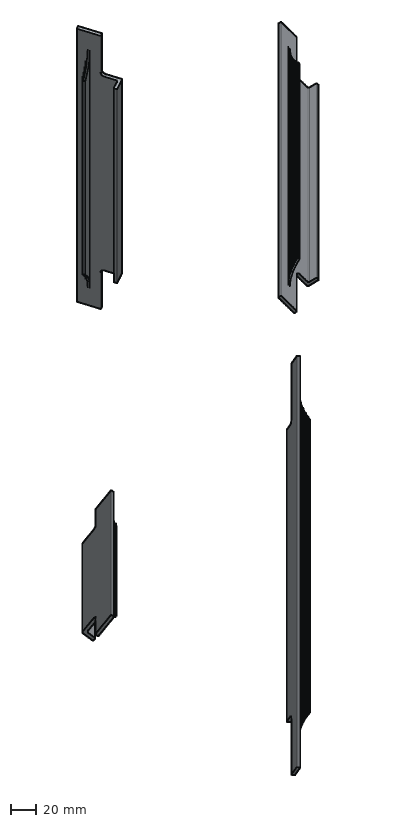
import cadquery as cq
import math

length = 345.0
overall_width = 38.0
overall_depth = 13.0
plate_thickness = 3.0
strip_width = 20.7
edge_radius = 0.52

grip_length = 245.0
notch_radius = 3.0
lip_thickness = 3.0
lip_depth = 11.5
lip_inner_radius = 1.0

fin_left = 9.3
fin_thickness = 2.0
fin_root_length = 299.5
tooth_count = 4
tooth_pitch = 2.0
tooth_height = 1.0
tooth_width = 0.52
first_tooth_depth = 5.2


def box(left, right, front, back, height):
    """Block centred on Z = 0, spanning the given X and Y limits."""
    return cq.Workplane("XY").box(
        right - left, back - front, height, centered=(False, False, True)
    ).translate((left, front, 0))


def make_plate():
    """Full-length strip with eased long edges and a wider, lipped middle portion."""
    strip = box(0, strip_width, -plate_thickness, 0, length)
    strip = strip.edges("|Z").fillet(edge_radius)

    wing_left = strip_width / 2
    wing = box(wing_left, overall_width, -plate_thickness, 0, grip_length)
    lip_left = overall_width - lip_thickness
    lip = box(lip_left, overall_width, -lip_depth, 0, grip_length)
    grip = wing.union(lip)
    inner_corner = cq.selectors.NearestToPointSelector((lip_left, -plate_thickness, 0))
    grip = grip.edges("|Z").edges(inner_corner).fillet(lip_inner_radius)
    grip = grip.faces("<Y").edges("|Z").fillet(edge_radius)
    grip = grip.faces(">X").edges("|Z and >Y").fillet(edge_radius)
    return strip.union(grip)


def make_notch_fillet(end):
    """Concave web between the strip edge and one end of the grip; end is +1 or -1."""
    root_x = strip_width - edge_radius
    grip_z = end * grip_length / 2
    arc_x = strip_width + notch_radius
    arc_z = grip_z + end * notch_radius
    arc_offset = notch_radius * math.sqrt(0.5)
    return (
        cq.Workplane("XZ")
        .moveTo(root_x, grip_z)
        .lineTo(arc_x, grip_z)
        .threePointArc((arc_x - arc_offset, arc_z - end * arc_offset), (strip_width, arc_z))
        .lineTo(root_x, arc_z)
        .close()
        .extrude(plate_thickness)
    )


def make_fin():
    """Serrated fin whose ends sweep up from the plate in tangent arcs."""
    fin = box(fin_left, fin_left + fin_thickness, -overall_depth, -plate_thickness / 2, fin_root_length)
    for tooth in range(tooth_count):
        tooth_y = -first_tooth_depth - tooth * tooth_pitch
        tooth_front = tooth_y - tooth_width / 2
        tooth_back = tooth_y + tooth_width / 2
        ridge = box(fin_left - tooth_height, fin_left, tooth_front, tooth_back, fin_root_length)
        fin = fin.union(ridge)

    run = (fin_root_length - grip_length) / 2
    rise = overall_depth - plate_thickness
    radius = (run**2 + rise**2) / (2 * rise)
    half_angle = math.asin(run / radius) / 2
    root_z = fin_root_length / 2
    crest_z = grip_length / 2
    middle_y = -plate_thickness - radius * (1 - math.cos(half_angle))
    middle_z = root_z - radius * math.sin(half_angle)
    side_profile = (
        cq.Workplane("YZ")
        .moveTo(0, -root_z)
        .lineTo(-plate_thickness, -root_z)
        .threePointArc((middle_y, -middle_z), (-overall_depth, -crest_z))
        .lineTo(-overall_depth, crest_z)
        .threePointArc((middle_y, middle_z), (-plate_thickness, root_z))
        .lineTo(0, root_z)
        .close()
        .extrude(strip_width)
    )
    return fin.intersect(side_profile)


result = make_plate().union(make_fin())
for grip_end in (1, -1):
    result = result.union(make_notch_fillet(grip_end))